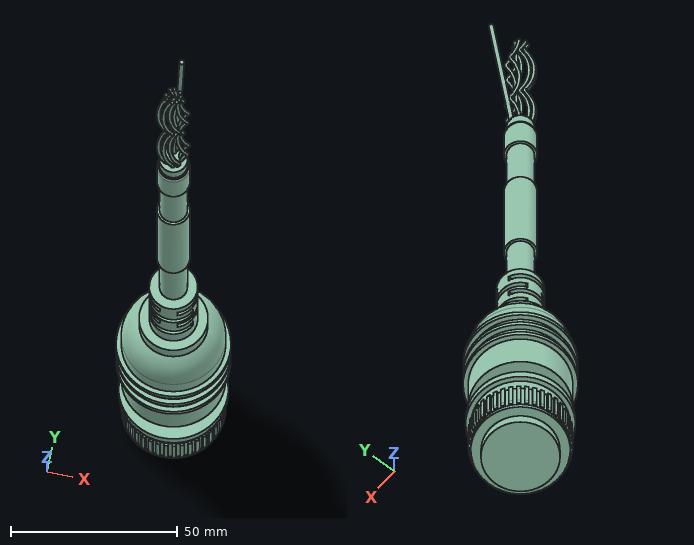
import cadquery as cq
import math

PLUG_RADIUS = 23.8 / 2
SHELL_RADIUS = 31.5 / 2
SHELL_BOTTOM = 30.7
DOME_START = 64.8
DOME_ARC_RADIUS = 10.0
COLLAR_RADIUS = 20.7 / 2
COLLAR_TOP = 78.5
BOOT_RADIUS = 14.5 / 2
BOOT_TOP = 104.0

GRIP_RING_RADIUS = 34.5 / 2
GRIP_RING_THICKNESS = 1.8
GRIP_RING_COUNT = 3
GRIP_RING_PITCH = 6.1
LOWEST_GRIP_RING = 44.8

SLOTS_PER_SET = 2
SLOT_PITCH = 9.2
SLOT_HEIGHT = 2.3
LOWEST_Y_SLOT = 84.0
LOWEST_X_SLOT = 89.4
WEB_THICKNESS = 5.5
BOOT_CORE_RADIUS = 7.0 / 2

NUT_BOTTOM = 3.8
KNURL_BOTTOM = 5.5
KNURL_CHAMFER_HEIGHT = 1.5
KNURL_CHAMFER_DEPTH = 0.3
KNURL_TOP = 15.4
KNURL_RADIUS = SHELL_RADIUS
NUT_BARREL_RADIUS = 30.0 / 2
FLANGE_BOTTOM = 20.0
FLANGE_TOP = 23.0
FLANGE_RADIUS = 33.0 / 2
KNURL_GROOVES = 40
KNURL_GROOVE_SHARE = 0.5

CABLE_RADIUS = 8.5 / 2
CABLE_TOP = 205.5
SLEEVE_RADIUS = 10.0 / 2
LABEL_BOTTOM = 127.0
LABEL_TOP = 165.7
FERRULE_BOTTOM = 188.0
FERRULE_TOP = 200.2
FERRULE_FILLET = 0.5
FERRULE_LIP_RADIUS = 9.0 / 2
FERRULE_LIP_HEIGHT = 1.0

OVERALL_HEIGHT = 256.0
WIRE_PAIRS = 4
PAIR_HALF_ANGLE = 17.5
WIRE_RADIUS = 0.5
WAIST_RADIUS = 1.8
COIL_RADIUS = 1.38
COIL_OFFSET = WAIST_RADIUS + COIL_RADIUS
COIL_PITCH = 25.3
UPPER_WAIST = 253.5
WIRE_ROOT = 1.3
POINTS_PER_TURN = 12

DRAIN_RADIUS = 0.8
DRAIN_FOOT_Y = 3.3
DRAIN_TIP_Y = 11.3


def disc(radius, bottom, top):
    return cq.Workplane("XY").workplane(offset=bottom).circle(radius).extrude(top - bottom)


def shell():
    arc_center_x = SHELL_RADIUS - DOME_ARC_RADIUS
    arc_end_angle = math.acos((COLLAR_RADIUS - arc_center_x) / DOME_ARC_RADIUS)

    def dome_point(angle):
        return (
            arc_center_x + DOME_ARC_RADIUS * math.cos(angle),
            DOME_START + DOME_ARC_RADIUS * math.sin(angle),
        )

    profile = (
        cq.Workplane("XZ")
        .moveTo(0, 0)
        .lineTo(PLUG_RADIUS, 0)
        .lineTo(PLUG_RADIUS, SHELL_BOTTOM)
        .lineTo(SHELL_RADIUS, SHELL_BOTTOM)
        .lineTo(SHELL_RADIUS, DOME_START)
        .threePointArc(dome_point(arc_end_angle / 2), dome_point(arc_end_angle))
        .lineTo(COLLAR_RADIUS, COLLAR_TOP)
        .lineTo(BOOT_RADIUS, COLLAR_TOP)
        .lineTo(BOOT_RADIUS, BOOT_TOP)
        .lineTo(0, BOOT_TOP)
        .close()
    )
    return profile.revolve(360, (0, 0, 0), (0, 1, 0))


def boot_slot(bottom, web_angle):
    """Ring gap that leaves the boot core and one web across it."""
    ring = disc(2 * BOOT_RADIUS, bottom, bottom + SLOT_HEIGHT)
    core = disc(BOOT_CORE_RADIUS, bottom, bottom + SLOT_HEIGHT)
    web = (
        cq.Workplane("XY")
        .workplane(offset=bottom)
        .rect(4 * BOOT_RADIUS, WEB_THICKNESS)
        .extrude(SLOT_HEIGHT)
        .rotate((0, 0, 0), (0, 0, 1), web_angle)
    )
    return ring.cut(core).cut(web)


def make_connector():
    body = shell()
    for i in range(GRIP_RING_COUNT):
        bottom = LOWEST_GRIP_RING + i * GRIP_RING_PITCH
        body = body.union(disc(GRIP_RING_RADIUS, bottom, bottom + GRIP_RING_THICKNESS))
    for i in range(SLOTS_PER_SET):
        body = body.cut(boot_slot(LOWEST_Y_SLOT + i * SLOT_PITCH, 0))
        body = body.cut(boot_slot(LOWEST_X_SLOT + i * SLOT_PITCH, 90))
    return body


def knurl_groove(index):
    groove_width = KNURL_GROOVE_SHARE * 2 * math.pi * KNURL_RADIUS / KNURL_GROOVES
    depth = KNURL_RADIUS - NUT_BARREL_RADIUS
    return (
        cq.Workplane("XY")
        .workplane(offset=KNURL_BOTTOM)
        .center(KNURL_RADIUS, 0)
        .rect(2 * depth, groove_width)
        .extrude(KNURL_TOP - KNURL_BOTTOM)
        .rotate((0, 0, 0), (0, 0, 1), index * 360 / KNURL_GROOVES)
    )


def make_nut():
    grip = disc(KNURL_RADIUS, KNURL_BOTTOM, KNURL_TOP)
    grip = grip.faces("<Z").chamfer(KNURL_CHAMFER_HEIGHT, KNURL_CHAMFER_DEPTH)
    for index in range(KNURL_GROOVES):
        grip = grip.cut(knurl_groove(index))
    nut = grip.union(disc(NUT_BARREL_RADIUS, NUT_BOTTOM, FLANGE_BOTTOM))
    nut = nut.union(disc(FLANGE_RADIUS, FLANGE_BOTTOM, FLANGE_TOP))
    return nut.cut(disc(PLUG_RADIUS, NUT_BOTTOM, FLANGE_TOP))


def wire():
    """Wire coiled about an axis set off from the cable axis, trimmed flat at the top."""
    start = CABLE_TOP - WIRE_ROOT
    end = OVERALL_HEIGHT + WIRE_RADIUS
    steps = math.ceil((end - start) / COIL_PITCH * POINTS_PER_TURN)

    def path_point(i):
        z = start + (end - start) * i / steps
        turn = 2 * math.pi * (z - UPPER_WAIST) / COIL_PITCH
        return cq.Vector(
            COIL_OFFSET - COIL_RADIUS * math.cos(turn),
            COIL_RADIUS * math.sin(turn),
            z,
        )

    points = [path_point(i) for i in range(steps + 1)]
    path = cq.Workplane("XY").spline(points)
    first_plane = cq.Plane(origin=points[0], normal=path.val().tangentAt(0))
    strand = cq.Workplane(first_plane).circle(WIRE_RADIUS).sweep(path)
    return strand.intersect(disc(2 * SLEEVE_RADIUS, 0, OVERALL_HEIGHT))


def drain_wire():
    """Straight bare wire leaning away from the coiled wires."""
    foot = cq.Vector(0, DRAIN_FOOT_Y, CABLE_TOP)
    direction = cq.Vector(0, DRAIN_TIP_Y, OVERALL_HEIGHT) - foot
    unit = direction.normalized()
    plane = cq.Plane(origin=foot - unit * WIRE_ROOT, xDir=(1, 0, 0), normal=unit)
    rod = cq.Workplane(plane).circle(DRAIN_RADIUS).extrude(direction.Length + 2 * WIRE_ROOT)
    return rod.intersect(disc(2 * DRAIN_TIP_Y, 0, OVERALL_HEIGHT))


def make_cable():
    cable = disc(CABLE_RADIUS, BOOT_TOP, CABLE_TOP)
    label = disc(SLEEVE_RADIUS, LABEL_BOTTOM, LABEL_TOP)
    ferrule = disc(SLEEVE_RADIUS, FERRULE_BOTTOM, FERRULE_TOP)
    ferrule = ferrule.faces(">Z").edges().fillet(FERRULE_FILLET)
    lip = disc(FERRULE_LIP_RADIUS, FERRULE_TOP, FERRULE_TOP + FERRULE_LIP_HEIGHT)
    cable = cable.union(label).union(ferrule).union(lip)
    strand = wire()
    for i in range(WIRE_PAIRS):
        for side in (-1, 1):
            angle = i * 360 / WIRE_PAIRS + side * PAIR_HALF_ANGLE
            cable = cable.union(strand.rotate((0, 0, 0), (0, 0, 1), angle))
    return cable.union(drain_wire())


connector = make_connector()
nut = make_nut()
cable = make_cable()
result = cq.Compound.makeCompound([connector.val(), nut.val(), cable.val()])